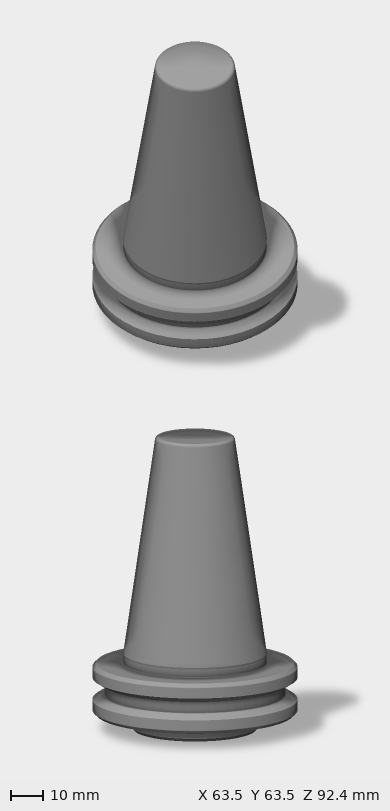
import cadquery as cq
import math

total_height = 92.4
flange_radius = 31.74

spigot_radius = 20.0
spigot_height = 4.9
spigot_chamfer = 1.0

flange_thickness = 15.9
rim_chamfer = 1.1
rim_blend_radius = 0.4
groove_radius = 27.95
groove_center_z = 12.8
groove_floor_width = 3.6
groove_mouth_width = 6.9
groove_flank_depth = 2.7

neck_radius = 22.1
neck_root_radius = 0.4
neck_height = 2.6
gauge_radius = 22.22
gauge_z = 23.9
taper_ratio = 7 / 24
tip_fillet = 1.1

flange_top_z = spigot_height + flange_thickness
flank_inner_radius = flange_radius - groove_flank_depth
tip_radius = gauge_radius - (total_height - gauge_z) * taper_ratio / 2


def make_spigot():
    spigot = cq.Workplane("XY").circle(spigot_radius).extrude(spigot_height)
    return spigot.faces("<Z").chamfer(spigot_chamfer)


def make_flange():
    blank = cq.Workplane("XY").workplane(offset=spigot_height)
    flange = blank.circle(flange_radius).extrude(flange_thickness)
    flange = flange.faces("<Z or >Z").chamfer(rim_chamfer)
    flange = flange.edges("%CIRCLE").fillet(rim_blend_radius)
    floor_half = groove_floor_width / 2
    mouth_half = groove_mouth_width / 2
    groove = (
        cq.Workplane("XZ")
        .moveTo(groove_radius, groove_center_z - floor_half)
        .lineTo(flank_inner_radius, groove_center_z - floor_half)
        .lineTo(flange_radius, groove_center_z - mouth_half)
        .lineTo(flange_radius, groove_center_z + mouth_half)
        .lineTo(flank_inner_radius, groove_center_z + floor_half)
        .lineTo(groove_radius, groove_center_z + floor_half)
        .close()
        .revolve(360, (0, 0, 0), (0, 1, 0))
    )
    return flange.cut(groove)


def make_neck_and_taper():
    root_arc_inset = neck_root_radius * (1 - math.sqrt(0.5))
    neck_top_z = flange_top_z + neck_height
    profile = (
        cq.Workplane("XZ")
        .moveTo(0, flange_top_z)
        .lineTo(neck_radius + neck_root_radius, flange_top_z)
        .threePointArc(
            (neck_radius + root_arc_inset, flange_top_z + root_arc_inset),
            (neck_radius, flange_top_z + neck_root_radius),
        )
        .lineTo(neck_radius, neck_top_z)
        .lineTo(gauge_radius, gauge_z)
        .lineTo(tip_radius, total_height)
        .lineTo(0, total_height)
        .close()
    )
    shank = profile.revolve(360, (0, 0, 0), (0, 1, 0))
    return shank.faces(">Z").fillet(tip_fillet)


result = make_spigot().union(make_flange()).union(make_neck_and_taper())